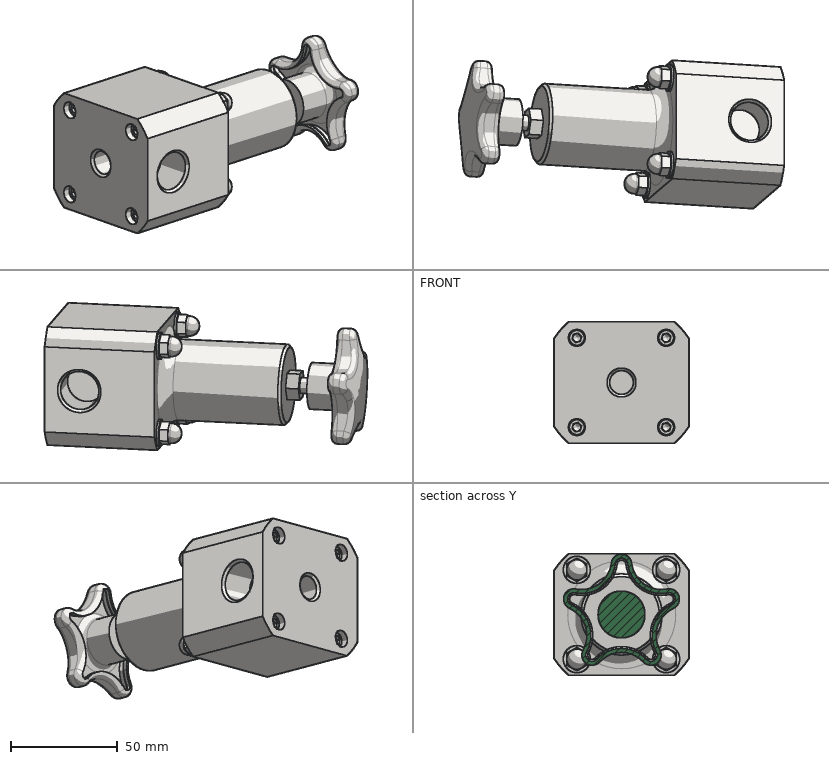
import cadquery as cq
import math


BODY_WIDTH = 63.5
BODY_HEIGHT = 57.1
BODY_LENGTH = 52.6
BODY_CORNER_RADIUS = 37.8

SIDE_PORT_DIAMETER = 18.3
SIDE_PORT_RIM = 20.7
SIDE_PORT_DEPTH = 17.5
SIDE_PORT_Y = 16.6
FRONT_PORT_DIAMETER = 11.1
FRONT_PORT_RIM = 13.6
FRONT_PORT_DEPTH = 14.6

SCREW_SPACING = 41.9
SCREW_HOLE_DIAMETER = 7.9
SCREW_HOLE_DEPTH = 4.0
SCREW_HEAD_DIAMETER = 7.0
SCREW_HEAD_HEIGHT = 0.9
SOCKET_FLATS = 4.0
SOCKET_TURN = -15
SOCKET_DEPTH = 1.8
SOCKET_CONE_DEPTH = 1.2
WASHER_DIAMETER = 12.7
WASHER_THICKNESS = 1.0
CAP_NUT_FLATS = 9.5
CAP_NUT_TURN = 90
CAP_NUT_HEX_TOP = 5.3
CAP_NUT_COLLAR_TOP = 6.1

BONNET_DIAMETER = 38.1
BONNET_END = 110.4
BONNET_CHAMFER = 1.3
BONNET_ROOT_FILLET = 6.3
STEM_DIAMETER = 7.5
LOCK_NUT_FLATS = 12.5
LOCK_NUT_LENGTH = 6.1

WHEEL_CROWN_Y = 146.0
WHEEL_BACK_Y = 134.0
WHEEL_CROWN_RADIUS = 109.5
LOBE_COUNT = 5
LOBE_CENTRE_RADIUS = 23.5
LOBE_RADIUS = 5.0
VALLEY_RADIUS = 13.9
WHEEL_EDGE_FILLET = 2.9
WHEEL_WALL = 2.0
WHEEL_CAVITY_FLOOR_Y = 139.5
HUB_DIAMETER = 22.0
HUB_START = 121.4
HUB_ROOT_FILLET = 3.4

SCREW_POSITIONS = [
    (x * SCREW_SPACING / 2, z * SCREW_SPACING / 2) for x in (-1, 1) for z in (-1, 1)
]


def cross_section(y):
    """Workplane across the main axis at height y, facing +Y, with its own y direction along Z."""
    return cq.Workplane(cq.Plane(origin=(0, y, 0), xDir=(-1, 0, 0), normal=(0, 1, 0)))


def rod(diameter, start, end):
    return cross_section(start).circle(diameter / 2).extrude(end - start)


def turned(profile):
    """Revolve a closed profile drawn in the XY plane about the main axis."""
    return profile.close().revolve(360, (0, 0, 0), (0, 1, 0))


def across_corners(flats):
    return flats / math.cos(math.pi / 6)


def tapered_port(diameter, rim, depth):
    """Port cutter along +Y from the origin, with a 45 degree lead-in at its mouth."""
    lead_in = (rim - diameter) / 2
    return turned(
        cq.Workplane("XY")
        .lineTo(rim / 2, 0)
        .lineTo(diameter / 2, lead_in)
        .lineTo(diameter / 2, depth)
        .lineTo(0, depth)
    )


def make_body():
    """Block with turned corners, one front port and a port in each side."""
    block = cross_section(0).rect(BODY_WIDTH, BODY_HEIGHT).extrude(BODY_LENGTH)
    body = block.intersect(rod(2 * BODY_CORNER_RADIUS, 0, BODY_LENGTH))
    body = body.cut(tapered_port(FRONT_PORT_DIAMETER, FRONT_PORT_RIM, FRONT_PORT_DEPTH))
    side_port = tapered_port(SIDE_PORT_DIAMETER, SIDE_PORT_RIM, SIDE_PORT_DEPTH)
    for side in (-1, 1):
        cutter = side_port.rotate((0, 0, 0), (0, 0, 1), side * 90)
        body = body.cut(cutter.translate((side * BODY_WIDTH / 2, SIDE_PORT_Y, 0)))
    return body


def screw_hole():
    return rod(SCREW_HOLE_DIAMETER, 0, SCREW_HOLE_DEPTH)


def screw_head():
    """Round head on the hole's floor, and the cutter for its hexagon socket ending in a cone."""
    face = SCREW_HOLE_DEPTH - SCREW_HEAD_HEIGHT
    head = rod(SCREW_HEAD_DIAMETER, face, SCREW_HOLE_DEPTH)
    socket = (
        cross_section(face)
        .transformed(rotate=(0, 0, SOCKET_TURN))
        .polygon(6, across_corners(SOCKET_FLATS))
        .extrude(SOCKET_DEPTH)
    )
    socket_floor = face + SOCKET_DEPTH
    cone = turned(
        cq.Workplane("XY")
        .moveTo(0, socket_floor)
        .lineTo(SOCKET_FLATS / 2, socket_floor)
        .lineTo(0, socket_floor + SOCKET_CONE_DEPTH)
    )
    return head, socket.union(cone)


def cap_nut():
    """Washer and domed hexagon nut on the body's rear face."""
    washer = rod(WASHER_DIAMETER, BODY_LENGTH, BODY_LENGTH + WASHER_THICKNESS)
    hexagon = (
        cross_section(BODY_LENGTH)
        .transformed(rotate=(0, 0, CAP_NUT_TURN))
        .polygon(6, across_corners(CAP_NUT_FLATS))
        .extrude(CAP_NUT_HEX_TOP)
    )
    radius = CAP_NUT_FLATS / 2
    collar_top = BODY_LENGTH + CAP_NUT_COLLAR_TOP
    dome_middle = radius * math.sqrt(0.5)
    dome = turned(
        cq.Workplane("XY")
        .moveTo(0, BODY_LENGTH)
        .lineTo(radius, BODY_LENGTH)
        .lineTo(radius, collar_top)
        .threePointArc((dome_middle, collar_top + dome_middle), (0, collar_top + radius))
    )
    return washer.union(hexagon).union(dome)


def make_bonnet():
    """Cylinder flaring onto the body's rear face, chamfered at its free end."""
    radius = BONNET_DIAMETER / 2
    fillet = BONNET_ROOT_FILLET
    arc_offset = fillet * (1 - math.sqrt(0.5))
    return turned(
        cq.Workplane("XY")
        .moveTo(0, BODY_LENGTH)
        .lineTo(radius + fillet, BODY_LENGTH)
        .threePointArc(
            (radius + arc_offset, BODY_LENGTH + arc_offset),
            (radius, BODY_LENGTH + fillet),
        )
        .lineTo(radius, BONNET_END - BONNET_CHAMFER)
        .lineTo(radius - BONNET_CHAMFER, BONNET_END)
        .lineTo(0, BONNET_END)
    )


def make_stem():
    """Stem between bonnet and handwheel, with its hexagon lock nut."""
    stem = rod(STEM_DIAMETER, BONNET_END, HUB_START)
    lock_nut = (
        cross_section(BONNET_END)
        .polygon(6, across_corners(LOCK_NUT_FLATS))
        .extrude(LOCK_NUT_LENGTH)
    )
    return stem.union(lock_nut)


def polar(radius, angle):
    return radius * math.cos(angle), radius * math.sin(angle)


def star_prism(inset, start, end):
    """Lobed wheel outline moved inward by inset, extruded from Y = start to Y = end.

    Each lobe arc runs into the concave valley arc beside it without a corner.
    """
    lobe_radius = LOBE_RADIUS - inset
    valley_radius = VALLEY_RADIUS + inset
    half_pitch = math.pi / LOBE_COUNT
    centre_gap = LOBE_RADIUS + VALLEY_RADIUS
    half_chord = LOBE_CENTRE_RADIUS * math.sin(half_pitch)
    valley_centre_radius = LOBE_CENTRE_RADIUS * math.cos(half_pitch) + math.sqrt(
        centre_gap**2 - half_chord**2
    )

    def junction(lobe_angle, valley_angle):
        lobe = polar(LOBE_CENTRE_RADIUS, lobe_angle)
        valley = polar(valley_centre_radius, valley_angle)
        share = lobe_radius / centre_gap
        return tuple(a + (b - a) * share for a, b in zip(lobe, valley))

    first_lobe = math.pi / 2
    outline = cross_section(start).moveTo(*junction(first_lobe, first_lobe - half_pitch))
    for index in range(LOBE_COUNT):
        lobe = first_lobe + 2 * index * half_pitch
        valley = lobe + half_pitch
        next_lobe = valley + half_pitch
        outline = outline.threePointArc(
            polar(LOBE_CENTRE_RADIUS + lobe_radius, lobe), junction(lobe, valley)
        ).threePointArc(
            polar(valley_centre_radius - valley_radius, valley), junction(next_lobe, valley)
        )
    return outline.close().extrude(end - start)


def make_hub():
    """Hub cylinder with a root fillet that spreads onto the floor of the wheel's cavity."""
    radius = HUB_DIAMETER / 2
    fillet = HUB_ROOT_FILLET
    arc_offset = fillet * (1 - math.sqrt(0.5))
    floor = WHEEL_CAVITY_FLOOR_Y
    return turned(
        cq.Workplane("XY")
        .moveTo(0, HUB_START)
        .lineTo(radius, HUB_START)
        .lineTo(radius, floor - fillet)
        .threePointArc((radius + arc_offset, floor - arc_offset), (radius + fillet, floor))
        .lineTo(0, floor)
    )


def make_handwheel():
    """Lobed wheel with a domed crown, hollowed from the back around its hub."""
    crown_centre = (0, WHEEL_CROWN_Y - WHEEL_CROWN_RADIUS, 0)
    crown_ball = cq.Workplane("XZ").sphere(WHEEL_CROWN_RADIUS).translate(crown_centre)
    wheel = star_prism(0, WHEEL_BACK_Y, WHEEL_CROWN_Y).intersect(crown_ball)
    wheel = wheel.edges("not |Y").fillet(WHEEL_EDGE_FILLET)
    cavity = star_prism(WHEEL_WALL, WHEEL_BACK_Y + WHEEL_WALL, WHEEL_CAVITY_FLOOR_Y)
    cavity = cavity.faces("<Y").edges().fillet(WHEEL_EDGE_FILLET - WHEEL_WALL)
    mouth = star_prism(WHEEL_EDGE_FILLET, WHEEL_BACK_Y, WHEEL_CAVITY_FLOOR_Y)
    return wheel.cut(cavity).cut(mouth).union(make_hub())


body = make_body().union(make_bonnet())
head, socket = screw_head()
nut = cap_nut()
for x, z in SCREW_POSITIONS:
    offset = (x, 0, z)
    body = body.cut(screw_hole().translate(offset))
    body = body.union(head.translate(offset)).cut(socket.translate(offset))
    body = body.union(nut.translate(offset))

result = body.union(make_stem()).union(make_handwheel())